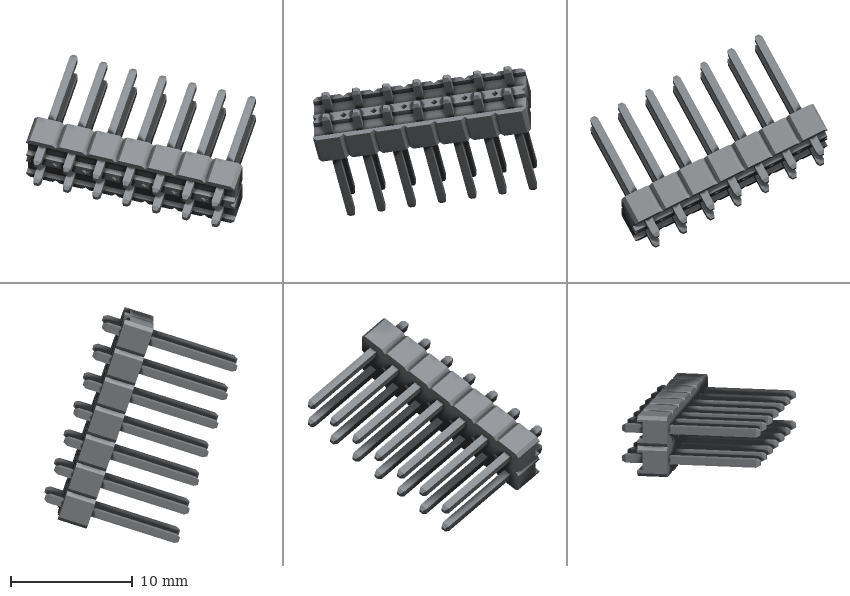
import cadquery as cq

columns = 7
rows = 2
bar_length = 17.78
pitch = bar_length / columns
bar_height = rows * pitch
bar_depth = 2.49

notch_leg = 0.3

channel_height = 1.56
channel_depth = 0.46

pin_width = 0.65
tip_width = 0.35
tip_length = 0.32
front_reach = 1.5
back_reach = 7.61

column_positions = [(i - (columns - 1) / 2) * pitch for i in range(columns)]
row_positions = [(j - (rows - 1) / 2) * pitch for j in range(rows)]
block_edges_x = [(i - columns / 2) * pitch for i in range(columns + 1)]
block_edges_z = [(j - rows / 2) * pitch for j in range(rows + 1)]


def make_bar():
    """Plain bar cut by diamond holes at every block corner and by a channel along every row."""
    bar = cq.Workplane("XY").box(bar_length, bar_depth, bar_height)
    bar = bar.translate((0, bar_depth / 2, 0))

    diamond_centres = [(x, z) for x in block_edges_x for z in block_edges_z]
    diamond = cq.Sketch().polygon(
        [(notch_leg, 0), (0, notch_leg), (-notch_leg, 0), (0, -notch_leg), (notch_leg, 0)]
    )
    diamonds = cq.Workplane("XZ").pushPoints(diamond_centres).placeSketch(diamond).extrude(-bar_depth)
    bar = bar.cut(diamonds)

    channel_centres = [(0, z) for z in row_positions]
    channels = (
        cq.Workplane("XZ")
        .pushPoints(channel_centres)
        .rect(bar_length, channel_height)
        .extrude(-channel_depth)
    )
    return bar.cut(channels)


def make_tip(base_y, end_y):
    """Tapered pin end, from the full section at base_y to the small end at end_y."""
    return (
        cq.Workplane("XZ", origin=(0, base_y, 0))
        .rect(pin_width, pin_width)
        .workplane(offset=base_y - end_y)
        .rect(tip_width, tip_width)
        .loft(ruled=True)
    )


def make_pin():
    """One pin along Y, centred on the Y axis."""
    front_end = -front_reach
    back_end = bar_depth + back_reach
    shaft_start = front_end + tip_length
    shaft_end = back_end - tip_length
    shaft = (
        cq.Workplane("XZ", origin=(0, shaft_start, 0))
        .rect(pin_width, pin_width)
        .extrude(shaft_start - shaft_end)
    )
    return shaft.union(make_tip(shaft_start, front_end)).union(make_tip(shaft_end, back_end))


result = make_bar()
pin = make_pin()
for x in column_positions:
    for z in row_positions:
        result = result.union(pin.translate((x, 0, z)))